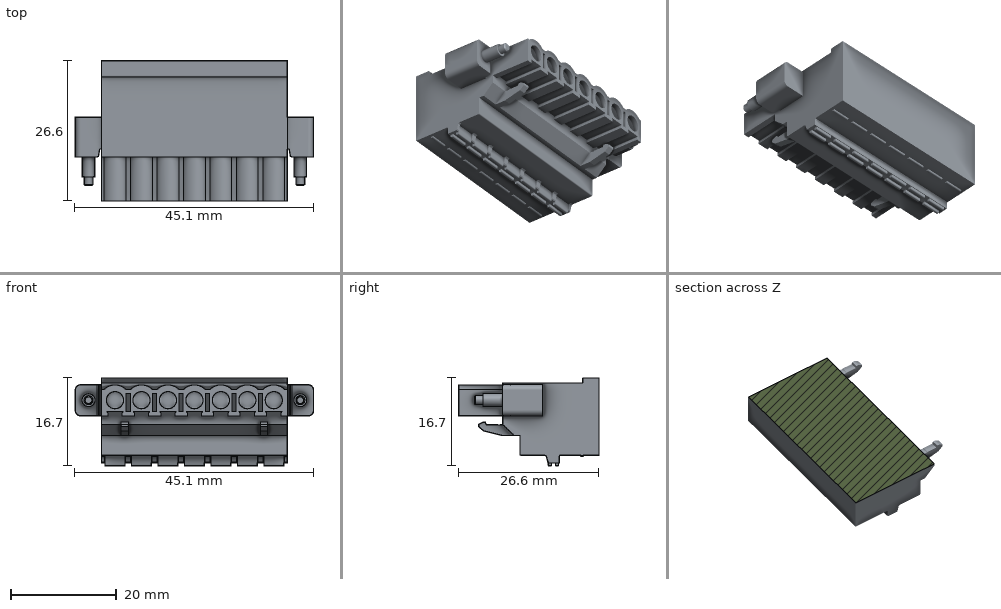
import cadquery as cq

POLES = 7
PITCH = 5.0
LENGTH = 45.1
DEPTH = 26.6

BODY_WIDTH = 35.2
BODY_TOP = 14.65
DECK_Z = 13.7
LIP_DEPTH = 3.15
LIP_FILLET = 0.25
FRONT_Y = 8.35
FRONT_BOTTOM_Z = 5.8
STEP_Z = 3.7
STEP_Y = 11.6
SLOPE_BACK_Y = 10.55
FOOT_FILLET = 0.23

NOSE_BOTTOM_Z = 7.45
VALLEY_Z = 12.45
AXIS_Z = 10.4
BARREL_RADIUS = 2.9
HOLE_RADIUS = 1.62
HOLE_DEPTH = 1.1
SLOT_WIDTH = 0.75
SLOT_HEIGHT = 3.45
NOTCH_TOP_Z = 8.25
NOTCH_THROAT_Z = 8.0
NOTCH_TOP_WIDTH = 3.05
NOTCH_MOUTH_WIDTH = 2.7

FLANGE_BACK_Y = 15.9
FLANGE_TOP_Z = 13.35
FLANGE_FILLET = 1.05
RELIEF_DEPTH = 1.5
RELIEF_FLOOR_WIDTH = 0.3
RELIEF_MOUTH_WIDTH = 0.55
RELIEF_BEVEL_WIDTH = 0.3
RELIEF_BEVEL_DEPTH = 0.15

SCREW_X = 20.02
SCREW_RADIUS = 1.2
SCREW_END_Y = 4.6
TIP_RADIUS = 0.85
TIP_END_Y = 2.98
TIP_CHAMFER = 0.23

LATCH_X = 13.15
LATCH_WIDTH = 1.35
LATCH_PROFILE = [
    (SLOPE_BACK_Y, STEP_Z),
    (FRONT_Y, STEP_Z),
    (4.75, 4.6),
    (3.8, 5.4),
    (3.8, 5.85),
    (4.65, 6.25),
    (5.05, 6.25),
    (5.25, 5.8),
    (7.25, 5.8),
    (7.4, 5.75),
    (FRONT_Y, FRONT_BOTTOM_Z),
]

RAIL_DROP = 1.5
RAIL_PROFILE = [
    (19.2, 0),
    (19.08, -0.2),
    (19.08, -RAIL_DROP),
    (17.05, -RAIL_DROP),
    (16.85, -1.3),
    (16.6, -0.23),
    (16.3, 0),
]
POCKET_WIDTH = 4.05
POCKET_BACK_Y = 17.05
CLIP_WIDTH = 3.8
CLIP_FRONT_Y = 16.95
CLIP_BACK_Y = 18.95
CLIP_DROP = 2.05
CLIP_FOOT = 0.65
CLIP_FOOT_FILLET = 0.23
BEAD_Y = 23.35
BEAD_RADIUS = 0.25

pole_xs = [(i - (POLES - 1) / 2) * PITCH for i in range(POLES)]
boundary_xs = [x + PITCH / 2 for x in pole_xs[:-1]]


def box(x_range, y_range, z_range):
    """Axis-aligned box between the given limits."""
    (x0, x1), (y0, y1), (z0, z1) = x_range, y_range, z_range
    return cq.Workplane("XY").box(x1 - x0, y1 - y0, z1 - z0, centered=False).translate((x0, y0, z0))


def cross_bar(profile, width, x=0):
    """Extrude a (y, z) outline along X, centred on x."""
    return cq.Workplane("YZ").polyline(profile).close().extrude(width / 2, both=True).translate((x, 0, 0))


def rod(x, radius, y_start, y_end):
    """Cylinder along Y at the height of the pole axes."""
    return cq.Workplane("XZ", origin=(x, y_end, AXIS_Z)).circle(radius).extrude(y_end - y_start)


def housing():
    lip_y = DEPTH - LIP_DEPTH
    outline = [
        (DEPTH, 0),
        (DEPTH, BODY_TOP),
        (lip_y, BODY_TOP),
        (lip_y, DECK_Z),
        (FRONT_Y, DECK_Z),
        (FRONT_Y, FRONT_BOTTOM_Z),
        (SLOPE_BACK_Y, STEP_Z),
        (STEP_Y, STEP_Z),
        (STEP_Y, 0),
    ]
    body = cross_bar(outline, BODY_WIDTH)
    body = body.edges(cq.selectors.NearestToPointSelector((0, lip_y, BODY_TOP))).fillet(LIP_FILLET)
    return body.edges(cq.selectors.NearestToPointSelector((0, STEP_Y, 0))).fillet(FOOT_FILLET)


def nose():
    half = BODY_WIDTH / 2
    block = box((-half, half), (0, FRONT_Y), (NOSE_BOTTOM_Z, VALLEY_Z))
    for x in pole_xs:
        block = block.union(rod(x, BARREL_RADIUS, 0, FRONT_Y))
    return block.intersect(box((-half, half), (0, FRONT_Y), (NOSE_BOTTOM_Z, DECK_Z)))


def pole_notch(x):
    """Undercut groove below one pole, running the length of the nose."""
    top = NOTCH_TOP_WIDTH / 2
    mouth = NOTCH_MOUTH_WIDTH / 2
    outline = [
        (x - top, NOTCH_TOP_Z),
        (x + top, NOTCH_TOP_Z),
        (x + mouth, NOTCH_THROAT_Z),
        (x + mouth, NOSE_BOTTOM_Z),
        (x - mouth, NOSE_BOTTOM_Z),
        (x - mouth, NOTCH_THROAT_Z),
    ]
    return cq.Workplane("XZ").polyline(outline).close().extrude(-FRONT_Y)


def boundary_slot(x):
    """Upright slot between two neighbouring poles."""
    half = SLOT_WIDTH / 2
    return box((x - half, x + half), (0, FRONT_Y), (NOTCH_TOP_Z, NOTCH_TOP_Z + SLOT_HEIGHT))


def flange(side):
    """Screw flange at one end; side is -1 or +1."""
    inner = BODY_WIDTH / 2
    middle = (FRONT_Y + FLANGE_BACK_Y) / 2
    size_x = LENGTH / 2 - inner
    ear = cq.Workplane("XY").box(size_x, FLANGE_BACK_Y - FRONT_Y, FLANGE_TOP_Z - NOSE_BOTTOM_Z)
    ear = ear.edges("|Y and >X").fillet(FLANGE_FILLET)
    ear = ear.translate((inner + size_x / 2, middle, (FLANGE_TOP_Z + NOSE_BOTTOM_Z) / 2))
    mouth_x = inner + RELIEF_MOUTH_WIDTH
    relief = [
        (inner, FRONT_Y),
        (inner, FRONT_Y + RELIEF_DEPTH),
        (inner + RELIEF_FLOOR_WIDTH, FRONT_Y + RELIEF_DEPTH),
        (mouth_x, FRONT_Y + RELIEF_BEVEL_DEPTH),
        (mouth_x + RELIEF_BEVEL_WIDTH, FRONT_Y),
    ]
    ear = ear.cut(cq.Workplane("XY").polyline(relief).close().extrude(BODY_TOP))
    return ear if side > 0 else ear.mirror("YZ")


def screw(x):
    tip = rod(x, TIP_RADIUS, TIP_END_Y, FRONT_Y).faces("<Y").chamfer(TIP_CHAMFER)
    return rod(x, SCREW_RADIUS, SCREW_END_Y, FRONT_Y).union(tip)


def rail():
    """Tapered rail across the underside, cut back where the clips stand."""
    bar = cross_bar(RAIL_PROFILE, BODY_WIDTH)
    half = POCKET_WIDTH / 2
    for x in pole_xs:
        bar = bar.cut(box((x - half, x + half), (0, POCKET_BACK_Y), (-RAIL_DROP, 0)))
    return bar


def clip_feet(x):
    """Two rounded feet reaching below the rail at one pole."""
    half = CLIP_WIDTH / 2
    feet = []
    for y in (CLIP_FRONT_Y, CLIP_BACK_Y - CLIP_FOOT):
        foot = box((x - half, x + half), (y, y + CLIP_FOOT), (-CLIP_DROP, 0))
        feet.append(foot.edges("|X and <Z").fillet(CLIP_FOOT_FILLET))
    return feet


def bead(x):
    """Half-round bead on the underside near the back, at one pole."""
    return cq.Workplane("YZ", origin=(x, BEAD_Y, 0)).circle(BEAD_RADIUS).extrude(CLIP_WIDTH / 2, both=True)


result = housing().union(nose()).union(rail())

for x in pole_xs:
    result = result.cut(rod(x, HOLE_RADIUS, 0, HOLE_DEPTH)).cut(pole_notch(x))
    result = result.union(bead(x))
    for foot in clip_feet(x):
        result = result.union(foot)

for x in boundary_xs:
    result = result.cut(boundary_slot(x))

for side in (-1, 1):
    result = result.union(flange(side)).union(screw(side * SCREW_X))
    result = result.union(cross_bar(LATCH_PROFILE, LATCH_WIDTH, side * LATCH_X))